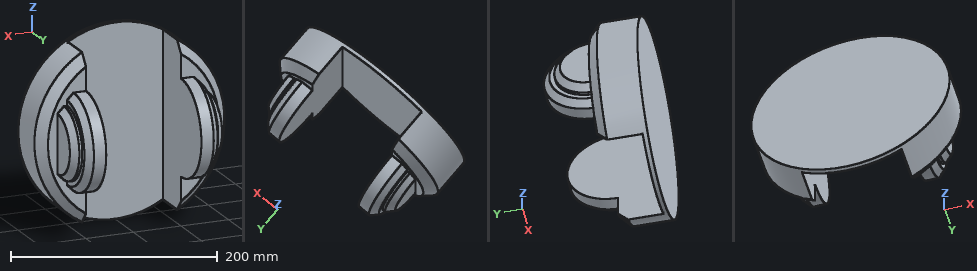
import cadquery as cq

body_radius = 100.0
body_depth = 50.0
body_chamfer = 10.0

slot_width = 100.0
floor_thickness = 5.0

ear_radius = 50.0
ear_thickness = 20.0
step_radius = 37.5
step_thickness = 10.0
ear_chamfer = 7.0


def make_body():
    """Disc with a chamfered rear rim and a slot that leaves a thin floor."""
    disc = cq.Workplane("XZ").circle(body_radius).extrude(-body_depth)
    disc = disc.faces(">Y").edges().chamfer(body_chamfer)
    slot_depth = body_depth - floor_thickness
    slot = cq.Workplane("XY").box(slot_width, slot_depth, 2 * body_radius, centered=(True, False, True))
    return disc.cut(slot.translate((0, floor_thickness, 0)))


def make_disc(radius, start_x, thickness):
    """Disc along +X with its outer rim chamfered."""
    disc = cq.Workplane("YZ", origin=(start_x, body_depth, 0)).circle(radius).extrude(thickness)
    return disc.faces(">X").edges().chamfer(ear_chamfer)


def make_ear():
    """Ear on the +X side of the slot with a smaller raised step."""
    inner_x = slot_width / 2
    plate = make_disc(ear_radius, inner_x, ear_thickness)
    step = make_disc(step_radius, inner_x + ear_thickness, step_thickness)
    return plate.union(step)


ear = make_ear()
result = make_body().union(ear).union(ear.mirror("YZ"))